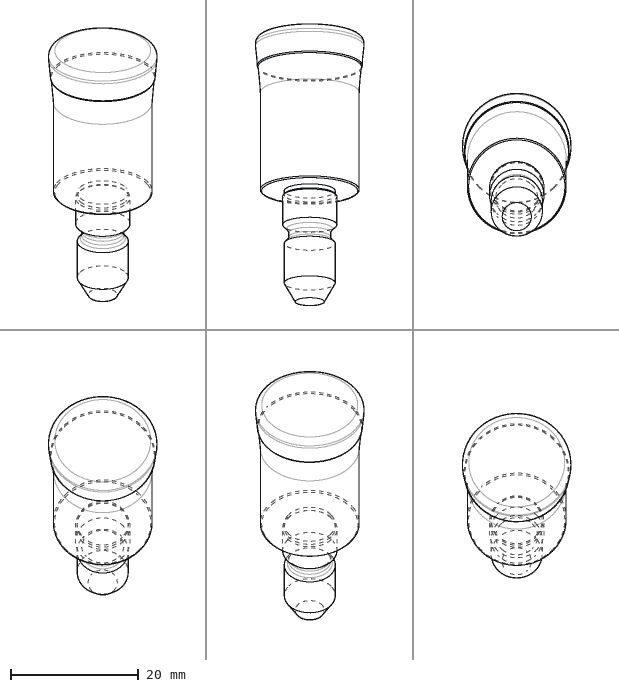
import cadquery as cq
import math

total_height = 43.0
cap_radius = 8.492
cap_rounding = 1.0
cap_band_bottom = 41.55
cap_bottom = 38.4
cap_bottom_radius = 8.2
skirt_top = 38.2
skirt_top_radius = 8.1
body_top = 34.0
body_radius = 7.75
body_bottom = 18.0
body_chamfer = 0.2

pin_radius = 4.0
collar_radius = 4.25
collar_top = 17.1
collar_top_chamfer = collar_radius - pin_radius
collar_bottom = 12.5
waist_radius = 3.3
waist_top_fillet = 1.0
waist_bottom_fillet = 0.75
shank_top = 9.5
nose_top = 3.05
nose_tip_radius = 2.3

DIAGONAL = math.sqrt(0.5)


def flank_fillet(fillet, flank_radius, flank_end, direction):
    """Points of a waist fillet, from the waist to a 45 degree flank.

    The flank reaches flank_radius at height flank_end.
    Direction is +1 when the flank opens upward and -1 when it opens downward.
    """
    flank_start_radius = waist_radius + fillet * (1 - DIAGONAL)
    flank_start = flank_end - direction * (flank_radius - flank_start_radius)
    waist_end = flank_start - direction * fillet * DIAGONAL
    half_angle = math.pi / 8
    middle_radius = waist_radius + fillet * (1 - math.cos(half_angle))
    middle_height = waist_end + direction * fillet * math.sin(half_angle)
    return (
        (waist_radius, waist_end),
        (middle_radius, middle_height),
        (flank_start_radius, flank_start),
    )


def make_head():
    profile = (
        cq.Workplane("XZ")
        .moveTo(0, body_bottom)
        .lineTo(body_radius - body_chamfer, body_bottom)
        .lineTo(body_radius, body_bottom + body_chamfer)
        .lineTo(body_radius, body_top)
        .lineTo(skirt_top_radius, skirt_top)
        .lineTo(cap_bottom_radius, cap_bottom)
        .lineTo(cap_radius, cap_band_bottom)
        .lineTo(cap_radius, total_height - cap_rounding)
        .radiusArc((cap_radius - cap_rounding, total_height), -cap_rounding)
        .lineTo(0, total_height)
        .close()
    )
    return profile.revolve(360, (0, 0), (0, 1))


def make_pin():
    lower_waist, lower_middle, lower_flank = flank_fillet(waist_bottom_fillet, pin_radius, shank_top, -1)
    upper_waist, upper_middle, upper_flank = flank_fillet(waist_top_fillet, collar_radius, collar_bottom, 1)
    profile = (
        cq.Workplane("XZ")
        .lineTo(nose_tip_radius, 0)
        .lineTo(pin_radius, nose_top)
        .lineTo(pin_radius, shank_top)
        .lineTo(*lower_flank)
        .threePointArc(lower_middle, lower_waist)
        .lineTo(*upper_waist)
        .threePointArc(upper_middle, upper_flank)
        .lineTo(collar_radius, collar_bottom)
        .lineTo(collar_radius, collar_top)
        .lineTo(pin_radius, collar_top + collar_top_chamfer)
        .lineTo(pin_radius, body_bottom)
        .lineTo(0, body_bottom)
        .close()
    )
    return profile.revolve(360, (0, 0), (0, 1))


result = make_head().union(make_pin())